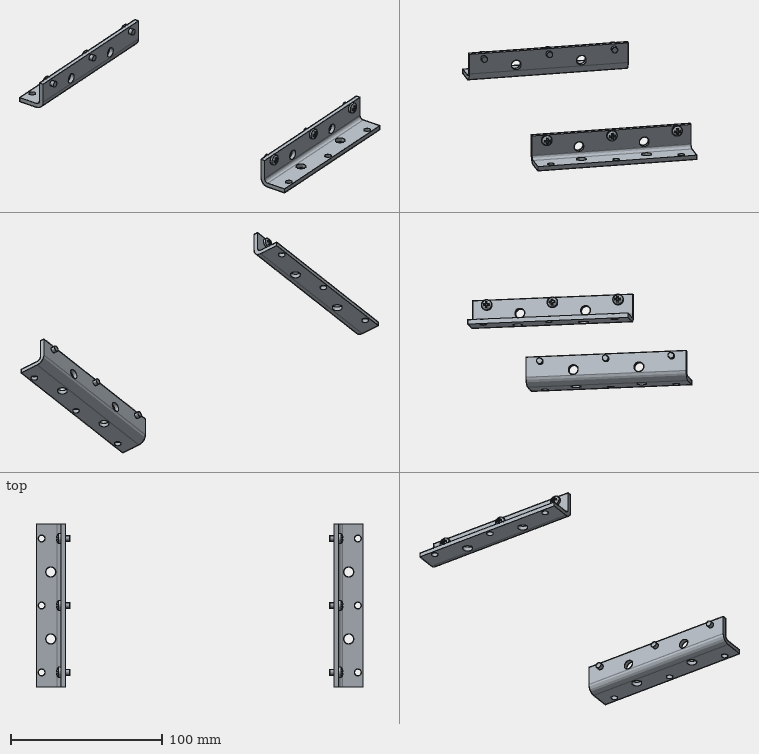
import cadquery as cq
import math

overall_width = 216.0
bracket_length = 108.0
leg_length = 19.2
thickness = 3.0
inner_radius = 2.5
outer_radius = inner_radius + thickness

hole_spacing = 44.3
screw_rows = [-hole_spacing, 0.0, hole_spacing]
large_hole_rows = [-hole_spacing / 2, hole_spacing / 2]
large_hole_diameter = 6.5
floor_hole_offset = 9.7
wall_hole_height = 9.5
small_hole_diameter = 4.3
small_hole_edge = 3.5

shank_diameter = 3.9
shank_projection = 2.8
head_diameter = 7.0
head_rim_height = 1.5
head_dome_height = 1.5
head_height = head_rim_height + head_dome_height
screw_height = leg_length - head_diameter / 2
recess_span = 3.9
recess_width = 1.0
recess_depth = 1.7

outer_edge_x = -overall_width / 2
outer_face_x = outer_edge_x + leg_length
inner_face_x = outer_face_x - thickness


def bracket_profile():
    """L-shaped section of the left bracket with a concentric bend."""
    bend_x = inner_face_x - inner_radius
    bend_z = thickness + inner_radius
    diagonal = math.sqrt(0.5)
    outer_mid = (bend_x + outer_radius * diagonal, bend_z - outer_radius * diagonal)
    inner_mid = (bend_x + inner_radius * diagonal, bend_z - inner_radius * diagonal)
    return (
        cq.Workplane("XZ", origin=(0, bracket_length / 2, 0))
        .moveTo(outer_edge_x, 0)
        .lineTo(bend_x, 0)
        .threePointArc(outer_mid, (outer_face_x, bend_z))
        .lineTo(outer_face_x, leg_length)
        .lineTo(inner_face_x, leg_length)
        .lineTo(inner_face_x, bend_z)
        .threePointArc(inner_mid, (bend_x, thickness))
        .lineTo(outer_edge_x, thickness)
        .close()
    )


def floor_holes(x, rows, diameter):
    """Vertical cutters through the horizontal leg."""
    return (
        cq.Workplane("XY")
        .pushPoints([(x, y) for y in rows])
        .circle(diameter / 2)
        .extrude(thickness)
    )


def wall_holes(z, rows, diameter):
    """Cutters along X through the vertical leg."""
    return (
        cq.Workplane("YZ", origin=(inner_face_x, 0, 0))
        .pushPoints([(y, z) for y in rows])
        .circle(diameter / 2)
        .extrude(thickness)
    )


def make_bracket():
    """Left bracket: bent angle with its floor, wall and screw holes."""
    return (
        bracket_profile()
        .extrude(bracket_length)
        .cut(floor_holes(outer_edge_x + small_hole_edge, screw_rows, small_hole_diameter))
        .cut(floor_holes(outer_face_x - floor_hole_offset, large_hole_rows, large_hole_diameter))
        .cut(wall_holes(wall_hole_height, large_hole_rows, large_hole_diameter))
        .cut(wall_holes(screw_height, screw_rows, shank_diameter))
    )


def cross_arm(width, height):
    """One rectangular arm of the cross recess, sunk from the crown of the head."""
    return (
        cq.Workplane("YZ", origin=(inner_face_x - head_height, 0, 0))
        .rect(width, height)
        .extrude(recess_depth)
    )


def make_screw(y):
    """Screw along X in the left bracket: domed head inside, shank end outside."""
    crown_x = inner_face_x - head_height
    rim_x = inner_face_x - head_rim_height
    shank_end_x = outer_face_x + shank_projection
    head_radius = head_diameter / 2
    shank_radius = shank_diameter / 2

    dome_radius = (head_radius**2 + head_dome_height**2) / (2 * head_dome_height)
    half_angle = math.asin(head_radius / dome_radius) / 2
    dome_mid_x = crown_x + dome_radius * (1 - math.cos(half_angle))
    dome_mid_radius = dome_radius * math.sin(half_angle)

    body = (
        cq.Workplane("XY")
        .moveTo(crown_x, 0)
        .threePointArc((dome_mid_x, dome_mid_radius), (rim_x, head_radius))
        .lineTo(inner_face_x, head_radius)
        .lineTo(inner_face_x, shank_radius)
        .lineTo(shank_end_x, shank_radius)
        .lineTo(shank_end_x, 0)
        .close()
        .revolve(360, (0, 0, 0), (1, 0, 0))
    )
    return (
        body
        .cut(cross_arm(recess_span, recess_width))
        .cut(cross_arm(recess_width, recess_span))
        .translate((0, y, screw_height))
    )


left_bodies = [make_bracket()] + [make_screw(y) for y in screw_rows]
right_bodies = [body.mirror("YZ") for body in left_bodies]

result = cq.Compound.makeCompound([body.val() for body in left_bodies + right_bodies])